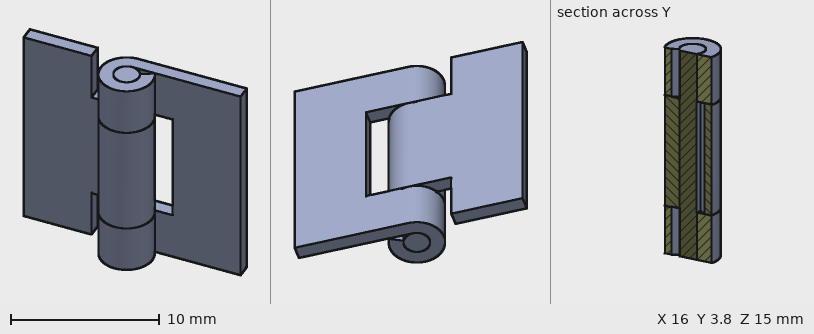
import cadquery as cq
import math

hinge_width = 16.0
hinge_height = 15.0
thickness = 1.0
pin_diameter = 1.8
plate_width = 5.0
middle_height = 8.03
curl_tip_angle = 26.8

half_width = hinge_width / 2
pin_radius = pin_diameter / 2
knuckle_radius = pin_radius + thickness
notch_edge = half_width - plate_width
end_height = (hinge_height - middle_height) / 2
bottom = -hinge_height / 2
middle_bottom = -middle_height / 2
middle_top = middle_height / 2


def polar(radius, angle):
    """Point at a radius and an angle in degrees about the hinge axis."""
    return (radius * math.cos(math.radians(angle)), radius * math.sin(math.radians(angle)))


def rolled_strip(z_bottom, height):
    """Flat strip toward +X whose inner end is rolled around the pin."""
    return (
        cq.Workplane("XY", origin=(0, 0, z_bottom))
        .moveTo(half_width, knuckle_radius)
        .lineTo(0, knuckle_radius)
        .threePointArc((-knuckle_radius, 0), polar(knuckle_radius, curl_tip_angle))
        .lineTo(*polar(pin_radius, curl_tip_angle))
        .threePointArc((-pin_radius, 0), (0, pin_radius))
        .lineTo(half_width, pin_radius)
        .close()
        .extrude(height)
    )


def flat_plate():
    """Full-height flat plate on the +X side, clear of the knuckles."""
    return cq.Workplane("XY").box(plate_width, thickness, hinge_height, centered=False).translate(
        (notch_edge, pin_radius, bottom)
    )


def outer_leaf():
    """Leaf on the +X side, with a knuckle at each end of the pin."""
    leaf = flat_plate()
    for z_bottom in (bottom, middle_top):
        leaf = leaf.union(rolled_strip(z_bottom, end_height))
    return leaf.solids()


def middle_leaf():
    """Leaf on the -X side, with one knuckle between those of the outer leaf."""
    leaf = flat_plate().union(rolled_strip(middle_bottom, middle_height))
    return leaf.mirror("YZ").solids()


def hinge_pin():
    """Plain pin, flush with both ends of the hinge."""
    return cq.Workplane("XY", origin=(0, 0, bottom)).circle(pin_radius).extrude(hinge_height)


result = cq.Compound.makeCompound([
    outer_leaf().val(),
    middle_leaf().val(),
    hinge_pin().val(),
])